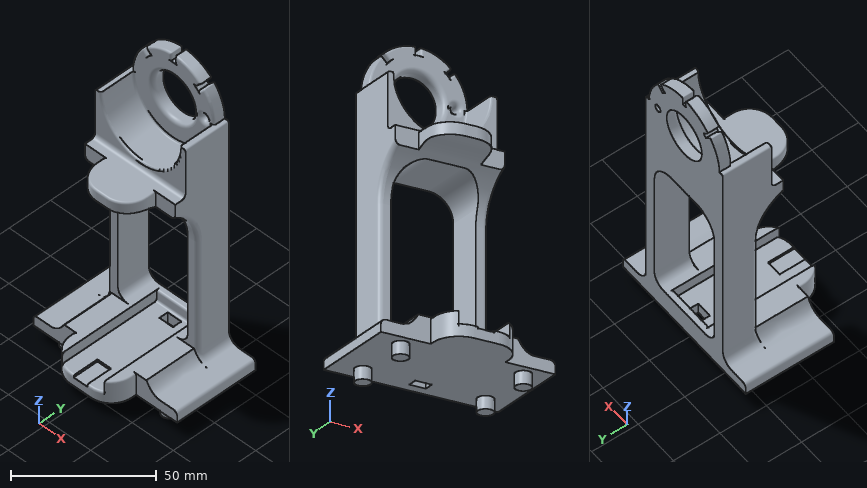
import cadquery as cq
import math


EDGE = 1.0
OVERCUT = 1.0

BASE_WIDTH = 70.0
BASE_DEPTH = 38.0
WING_HEIGHT = 5.0
BASE_HEIGHT = 10.0
WING_EDGE_RADIUS = 2.0
BASE_TONGUE_DEPTH = 50.0
BASE_TONGUE_WIDTH = 30.0
TONGUE_CORNER_RADIUS = 10.0
FLANK_STEPS = 8

CHANNEL_WIDTH = 20.4
CHANNEL_FLOOR = 5.0
CHANNEL_BACK_DEPTH = 3.0
NOTCH_WIDTH = 6.6
NOTCH_FLOOR = CHANNEL_FLOOR - EDGE
NOTCH_BACK_DEPTH = 38.5
FLOOR_SLOT_BACK = 4.5
FLOOR_SLOT_FRONT = 8.5

PIN_DIAMETER = 6.2
PIN_LENGTH = 5.0
PIN_XS = (-23.75, 25.45)
PIN_DEPTHS = (7.45, 32.45)

FRAME_WIDTH = 44.0
LEG_DEPTH = 15.0
LEG_EDGE_RADIUS = 2.0
LEG_CORNER_X = FRAME_WIDTH / 2 - LEG_EDGE_RADIUS
LEG_CORNER_DEPTH = LEG_DEPTH - LEG_EDGE_RADIUS
LEG_FOOT_RADIUS = BASE_HEIGHT - WING_HEIGHT
WINDOW_WIDTH = 34.0
WINDOW_TOP = 76.4
WINDOW_TOP_RADIUS = 10.0
WINDOW_BOTTOM_RADIUS = 5.0

SHELF_TOP = 85.0
SHELF_THICKNESS = 5.0
SHELF_DEPTH = 26.0
ARCH_RADIUS = 20.0
SHELF_TONGUE_DEPTH = 40.0
SHELF_TONGUE_WIDTH = 25.0
SHELF_INNER_RADIUS = 2.0

ARCH_DEPTH = LEG_DEPTH + ARCH_RADIUS
SHELF_UNDERSIDE = SHELF_TOP - SHELF_THICKNESS
ARCH_Z = SHELF_UNDERSIDE - ARCH_RADIUS

BLOCK_DEPTH = 21.0
RING_CENTER_Z = 107.14
RING_RADIUS = 20.0
RING_THICKNESS = 5.25
BORE_RADIUS = 10.0
BORE_ROUNDING = 2.0
TROUGH_RADIUS = 19.25
RING_SLOT_WIDTH = 1.8
RING_SLOT_EXTRA = 2.0
RING_SLOT_MOUTH_RADIUS = 0.5
RING_SLOT_BOTTOM = 16.5
RING_SLOT_ANGLES = (-45.0, 0.0, 45.0)
PIN_HOLE_X = 15.0
PIN_HOLE_RADIUS = 1.5
PIN_HOLE_ROUNDING = 2.0


def box(x_min, x_max, depth_min, depth_max, z_min, z_max):
    """Box given by its X range, depth range and Z range."""
    size = (x_max - x_min, depth_max - depth_min, z_max - z_min)
    return cq.Workplane("XY").box(*size, centered=False).translate((x_min, -depth_max, z_min))


def sketch_xz(depth):
    """XZ sketch plane at a depth; positive extrusion runs toward the front."""
    return cq.Workplane("XZ", origin=(0, -depth, 0))


def disc(x, z, radius, depth_min, depth_max):
    """Cylinder along Y."""
    return sketch_xz(depth_min).center(x, z).circle(radius).extrude(depth_max - depth_min)


def tongue(width, depth_min, depth_max, z_min, z_max):
    """Plate with rounded front corners."""
    plate = box(-width / 2, width / 2, depth_min, depth_max, z_min, z_max)
    return plate.edges("|Z and <Y").fillet(TONGUE_CORNER_RADIUS)


def round_rim(plate):
    """Round the upper rim of a tongue, except along its back edge."""
    return plate.faces(">Z").edges("not >Y").fillet(EDGE)


def half_outline(depth, wing_end_x):
    """Start of a right-half base section: underside, wing tip and wing top as far as wing_end_x."""
    half = BASE_WIDTH / 2
    return (
        sketch_xz(depth)
        .moveTo(0, 0)
        .lineTo(half, 0)
        .lineTo(half, WING_HEIGHT - WING_EDGE_RADIUS)
        .radiusArc((half - WING_EDGE_RADIUS, WING_HEIGHT), -WING_EDGE_RADIUS)
        .lineTo(wing_end_x, WING_HEIGHT)
    )


def leg_foot():
    """Hollow foot swept round the rounded front corner of the right leg."""
    foot_radius = LEG_EDGE_RADIUS + LEG_FOOT_RADIUS
    section = (
        cq.Workplane("XZ")
        .lineTo(foot_radius, 0)
        .lineTo(foot_radius, WING_HEIGHT)
        .radiusArc((LEG_EDGE_RADIUS, BASE_HEIGHT), LEG_FOOT_RADIUS)
        .lineTo(0, BASE_HEIGHT)
        .close()
    )
    foot = section.revolve(360, (0, 0, 0), (0, 1, 0)).translate((LEG_CORNER_X, -LEG_CORNER_DEPTH, 0))
    return foot.intersect(box(LEG_CORNER_X, BASE_WIDTH / 2, LEG_CORNER_DEPTH, LEG_DEPTH, 0, BASE_HEIGHT))


def front_flank(turn):
    """Point on the section of the swept foot at the leg's front face; turn runs from 0 to 1."""
    angle = (1 - turn) * math.pi / 2
    radius = LEG_EDGE_RADIUS + LEG_FOOT_RADIUS * (1 - math.cos(angle))
    x = LEG_CORNER_X + math.sqrt(max(radius**2 - LEG_EDGE_RADIUS**2, 0))
    return x, BASE_HEIGHT - LEG_FOOT_RADIUS * math.sin(angle)


def make_base():
    """Base plate: mirrored halves, each beside, at the corner of and in front of a leg, plus the tongue."""
    leg_x = FRAME_WIDTH / 2
    beside_legs = (
        half_outline(0, leg_x + LEG_FOOT_RADIUS)
        .radiusArc((leg_x, BASE_HEIGHT), LEG_FOOT_RADIUS)
        .lineTo(0, BASE_HEIGHT)
        .close()
        .extrude(LEG_CORNER_DEPTH)
    )
    wing_outline = half_outline(LEG_CORNER_DEPTH, LEG_CORNER_X)
    wing = wing_outline.lineTo(0, WING_HEIGHT).close().extrude(LEG_DEPTH - LEG_CORNER_DEPTH)
    crest = box(0, LEG_CORNER_X, LEG_CORNER_DEPTH, LEG_DEPTH, 0, BASE_HEIGHT)
    flank_points = [front_flank(step / FLANK_STEPS) for step in range(1, FLANK_STEPS + 1)]
    in_front = (
        half_outline(LEG_DEPTH, front_flank(0)[0])
        .spline(flank_points, includeCurrent=True)
        .lineTo(0, BASE_HEIGHT)
        .close()
        .extrude(BASE_DEPTH - LEG_DEPTH)
    )
    right = beside_legs.union(wing).union(crest).union(leg_foot()).union(in_front)
    base = right.union(right.mirror("YZ"))
    lip = tongue(BASE_TONGUE_WIDTH, BASE_DEPTH, BASE_TONGUE_DEPTH, 0, BASE_HEIGHT)
    return base.union(round_rim(lip))


def make_channel():
    """Cutter for the channel, with a rounded back rim and a rounded foot at the back wall."""
    half = CHANNEL_WIDTH / 2
    back = -CHANNEL_BACK_DEPTH
    section = (
        cq.Workplane("YZ", origin=(-half, 0, 0))
        .moveTo(back + EDGE, BASE_HEIGHT)
        .radiusArc((back, BASE_HEIGHT - EDGE), -EDGE)
        .lineTo(back, CHANNEL_FLOOR + EDGE)
        .radiusArc((back - EDGE, CHANNEL_FLOOR), EDGE)
        .lineTo(-BASE_TONGUE_DEPTH, CHANNEL_FLOOR)
        .lineTo(-BASE_TONGUE_DEPTH, BASE_HEIGHT)
        .close()
    )
    return section.extrude(CHANNEL_WIDTH)


def cut_channel(body):
    """Cut the channel, round the lip left below it, then cut the notch and the slot in its floor."""
    body = body.cut(make_channel())
    half = CHANNEL_WIDTH / 2
    low_lip = tongue(BASE_TONGUE_WIDTH, BASE_DEPTH, BASE_TONGUE_DEPTH, 0, CHANNEL_FLOOR)
    rim_waste = low_lip.cut(round_rim(low_lip))
    lip_span = box(-half, half, BASE_DEPTH, BASE_TONGUE_DEPTH, 0, CHANNEL_FLOOR)
    body = body.cut(rim_waste.intersect(lip_span))
    notch_x = NOTCH_WIDTH / 2
    notch = box(-notch_x, notch_x, NOTCH_BACK_DEPTH, BASE_TONGUE_DEPTH, NOTCH_FLOOR, CHANNEL_FLOOR)
    slot = box(-notch_x, notch_x, FLOOR_SLOT_BACK, FLOOR_SLOT_FRONT, 0, CHANNEL_FLOOR)
    return body.cut(notch).cut(slot)


def make_pins():
    places = [(x, -depth) for x in PIN_XS for depth in PIN_DEPTHS]
    return cq.Workplane("XY").pushPoints(places).circle(PIN_DIAMETER / 2).extrude(-PIN_LENGTH)


def arch_point(depth):
    """YZ point on the arch at a depth."""
    return -depth, ARCH_Z + math.sqrt(ARCH_RADIUS**2 - (ARCH_DEPTH - depth) ** 2)


def make_frame():
    """Legs, shelf and trough block as one side profile across the frame width."""
    arch_mid_depth = (LEG_DEPTH + SHELF_DEPTH) / 2
    profile = (
        cq.Workplane("YZ", origin=(-FRAME_WIDTH / 2, 0, 0))
        .moveTo(0, BASE_HEIGHT)
        .lineTo(-LEG_DEPTH, BASE_HEIGHT)
        .lineTo(-LEG_DEPTH, ARCH_Z)
        .threePointArc(arch_point(arch_mid_depth), arch_point(SHELF_DEPTH))
        .lineTo(-SHELF_DEPTH, SHELF_TOP)
        .lineTo(-BLOCK_DEPTH, SHELF_TOP)
        .lineTo(-BLOCK_DEPTH, RING_CENTER_Z)
        .lineTo(0, RING_CENTER_Z)
        .close()
    )
    frame = profile.extrude(FRAME_WIDTH)
    front_edges = cq.selectors.BoxSelector(
        (-FRAME_WIDTH, -SHELF_DEPTH + OVERCUT, BASE_HEIGHT + OVERCUT),
        (FRAME_WIDTH, -LEG_DEPTH - OVERCUT, SHELF_UNDERSIDE),
    )
    leg_edges = cq.selectors.BoxSelector(
        (-FRAME_WIDTH, -LEG_DEPTH - OVERCUT, BASE_HEIGHT + OVERCUT),
        (FRAME_WIDTH, -LEG_DEPTH + OVERCUT, ARCH_Z - OVERCUT),
    )
    frame = frame.edges(front_edges + leg_edges).edges("not |X").fillet(LEG_EDGE_RADIUS)
    inner_corner = cq.selectors.BoxSelector(
        (-FRAME_WIDTH, -BLOCK_DEPTH - OVERCUT, SHELF_TOP - OVERCUT),
        (FRAME_WIDTH, -BLOCK_DEPTH + OVERCUT, SHELF_TOP + OVERCUT),
    )
    frame = frame.edges(inner_corner).edges("|X").fillet(SHELF_INNER_RADIUS)
    frame = frame.faces(">Z").edges("|Y").fillet(EDGE)
    return frame.cut(make_window())


def make_window():
    half = WINDOW_WIDTH / 2
    window = box(-half, half, -OVERCUT, SHELF_TONGUE_DEPTH, BASE_HEIGHT, WINDOW_TOP)
    window = window.edges("|Y and >Z").fillet(WINDOW_TOP_RADIUS)
    return window.edges("|Y and <Z").fillet(WINDOW_BOTTOM_RADIUS)


def make_shelf_tongue():
    """Shelf tongue, with the arch under the shelf running out beneath it."""
    plate = tongue(SHELF_TONGUE_WIDTH, SHELF_DEPTH, SHELF_TONGUE_DEPTH, WINDOW_TOP, SHELF_TOP)
    plate = round_rim(plate)
    half = SHELF_TONGUE_WIDTH / 2
    below_front = box(-half, half, ARCH_DEPTH, SHELF_TONGUE_DEPTH, WINDOW_TOP, SHELF_UNDERSIDE)
    arch = (
        cq.Workplane("YZ", origin=(-half, 0, 0))
        .center(-ARCH_DEPTH, ARCH_Z)
        .circle(ARCH_RADIUS)
        .extrude(SHELF_TONGUE_WIDTH)
    )
    return plate.cut(below_front).cut(arch)


def cut_trough(body):
    """Half-round trough with a rounded front rim and a rounded back corner."""
    section = (
        cq.Workplane("XY", origin=(0, 0, RING_CENTER_Z))
        .moveTo(0, -RING_THICKNESS)
        .lineTo(TROUGH_RADIUS - EDGE, -RING_THICKNESS)
        .radiusArc((TROUGH_RADIUS, -RING_THICKNESS - EDGE), EDGE)
        .lineTo(TROUGH_RADIUS, -BLOCK_DEPTH + EDGE)
        .radiusArc((TROUGH_RADIUS + EDGE, -BLOCK_DEPTH), -EDGE)
        .lineTo(0, -BLOCK_DEPTH)
        .close()
    )
    return body.cut(section.revolve(360, (0, 0, 0), (0, 1, 0)))


def is_slot_mouth(edge):
    """True for an edge where a slot wall meets the outside of the ring."""
    center = edge.Center()
    on_rim = math.hypot(center.x, center.z - RING_CENTER_Z) > TROUGH_RADIUS
    return on_rim and center.z > RING_CENTER_Z + RING_RADIUS / 2


def make_ring():
    ring = disc(0, RING_CENTER_Z, RING_RADIUS, 0, RING_THICKNESS)
    center = (0, 0, RING_CENTER_Z)
    for angle in RING_SLOT_ANGLES:
        slot = box(
            -RING_SLOT_WIDTH / 2,
            RING_SLOT_WIDTH / 2,
            0,
            RING_THICKNESS,
            RING_CENTER_Z + RING_SLOT_BOTTOM - RING_SLOT_EXTRA,
            RING_CENTER_Z + RING_RADIUS,
        )
        ring = ring.cut(slot.rotate(center, (0, 1, RING_CENTER_Z), angle))
    ring = ring.edges("|Y").filter(is_slot_mouth).fillet(RING_SLOT_MOUTH_RADIUS)
    ring = ring.faces("<Y").edges().fillet(EDGE)
    return ring.union(disc(0, RING_CENTER_Z, RING_SLOT_BOTTOM, 0, RING_THICKNESS))


def rounded_hole(x, radius, rounding):
    """Cutter for a through hole in the ring whose front mouth is rounded."""
    section = (
        cq.Workplane("XY", origin=(x, 0, RING_CENTER_Z))
        .moveTo(0, OVERCUT)
        .lineTo(radius, OVERCUT)
        .lineTo(radius, -RING_THICKNESS + rounding)
        .radiusArc((radius + rounding, -RING_THICKNESS), -rounding)
        .lineTo(0, -RING_THICKNESS)
        .close()
    )
    return section.revolve(360, (0, 0, 0), (0, 1, 0))


result = make_base().union(make_pins()).union(make_frame()).union(make_shelf_tongue())
result = cut_trough(cut_channel(result)).union(make_ring())
result = result.cut(rounded_hole(0, BORE_RADIUS, BORE_ROUNDING))
result = result.cut(rounded_hole(PIN_HOLE_X, PIN_HOLE_RADIUS, PIN_HOLE_ROUNDING))